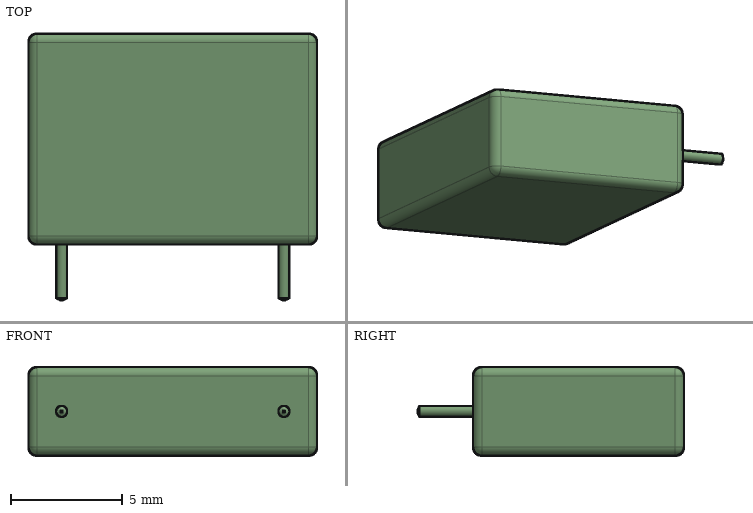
import cadquery as cq

body_length = 13.0
body_depth = 9.5
body_height = 4.0
body_edge_radius = 0.4

lead_pitch = 10.0
lead_diameter = 0.5
lead_length = 2.5

tip_length = 0.1
tip_flat_diameter = 0.1


def make_body():
    """Block with every edge rounded, centred on X and Z."""
    block = cq.Workplane("XY").box(
        body_length, body_depth, body_height, centered=(True, False, True)
    )
    return block.edges().fillet(body_edge_radius)


def make_lead(x):
    """Round pin along -Y with a blunt conical tip, revolved about its own axis."""
    radius = lead_diameter / 2
    profile = (
        cq.Workplane("YZ", origin=(x, 0, 0))
        .lineTo(0, radius)
        .lineTo(-(lead_length - tip_length), radius)
        .lineTo(-lead_length, tip_flat_diameter / 2)
        .lineTo(-lead_length, 0)
        .close()
    )
    return profile.revolve(360, (0, 0), (1, 0))


result = make_body()
for side in (-1, 1):
    result = result.union(make_lead(side * lead_pitch / 2))